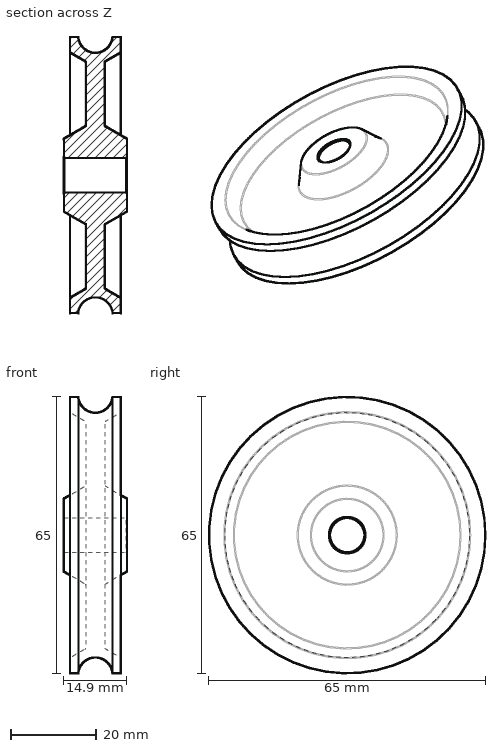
import cadquery as cq
import math

outer_radius = 32.5
hub_width = 14.95
rim_width = 12.0

groove_width = 8.0
groove_depth = 3.7

web_thickness = 4.5
recess_outer_radius = 28.85
hub_face_radius = 8.6
bore_radius = 4.0
bore_chamfer = 0.25
edge_rounding = 0.3
wall_angle = math.radians(30)

wall_slope = math.tan(wall_angle)
recess_floor_radius = recess_outer_radius - (rim_width - web_thickness) / 2 * wall_slope
hub_base_radius = hub_face_radius + (hub_width - web_thickness) / 2 * wall_slope

right_side = [
    (hub_width / 2 - bore_chamfer, bore_radius),
    (hub_width / 2, bore_radius + bore_chamfer),
    (hub_width / 2, hub_face_radius),
    (web_thickness / 2, hub_base_radius),
    (web_thickness / 2, recess_floor_radius),
    (rim_width / 2, recess_outer_radius),
    (rim_width / 2, outer_radius),
    (groove_width / 2, outer_radius),
]
left_side = [(-x, radius) for x, radius in reversed(right_side)]

profile = (
    cq.Workplane("XY")
    .polyline(right_side)
    .threePointArc((0, outer_radius - groove_depth), left_side[0])
)
for point in left_side[1:]:
    profile = profile.lineTo(*point)

wheel = profile.close().revolve(360, (0, 0, 0), (1, 0, 0))

wall_radii = [hub_face_radius, hub_base_radius, recess_floor_radius, recess_outer_radius]
radius_tolerance = 6.5e-05


def is_wall_edge(edge):
    """True for a circular edge at the end of a sloping wall."""
    if edge.geomType() != "CIRCLE":
        return False
    center = edge.arcCenter()
    if math.hypot(center.y, center.z) > radius_tolerance:
        return False
    return any(abs(edge.radius() - radius) < radius_tolerance for radius in wall_radii)


wall_edges = wheel.edges().filter(is_wall_edge)
result = wall_edges.fillet(edge_rounding)